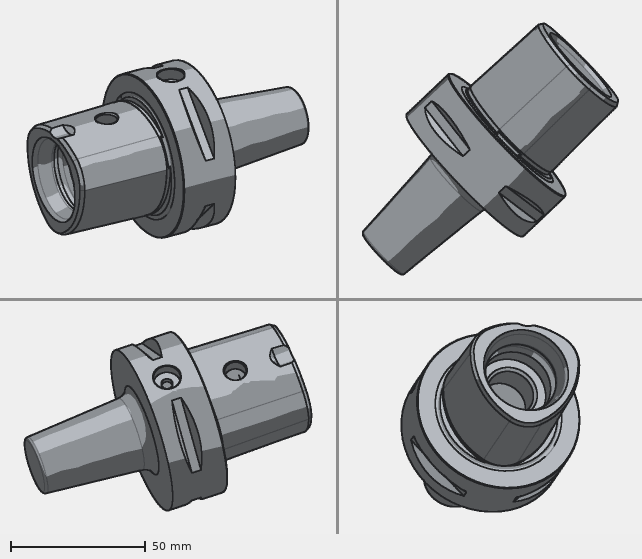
import cadquery as cq
import math


flange_radius = 31.5
flange_length = 22.0
flange_chamfer = 0.3
nose_length = 65.0
nose_fillet_radius_at_flange = 17.4
nose_base_radius = 14.1
nose_base_y = 26.7
nose_tip_radius = 11.0
tip_fillet = 1.0

collar_height = 0.4
groove_wall_radius = 22.6
groove_radius = 1.2
groove_depth = 0.2
groove_center_radius = groove_wall_radius + groove_radius
neck_inset = 0.1
shank_start = 2.0

shank_length = 38.0
lobe_center_radius = 10.4
lobe_radius = 13.0
shank_taper = 1 / 20
end_chamfer_length = 1.5
end_chamfer_depth = 0.9

mouth_radius = 16.4
mouth_chamfer_depth = 1.8
bore_radius = 15.5
lip_start = 6.8
lip_radius = 13.8
lip_end = 7.8
recess_radius = 14.9
recess_bulge_start = 10.0
recess_bulge_end = 12.0
recess_bulge_height = 0.3
inner_bore_start = 13.8
inner_bore_radius = 13.4
bore_floor = 20.6
pilot_mouth_radius = 10.1
pilot_radius = 9.0
pilot_length = 12.4
drill_slope = math.tan(math.radians(31))

slot_y = 11.9
slot_count = 4
slot_floor_distance = 28.0
slot_floor_width = 3.6
slot_side_slope = math.tan(math.radians(30))
index_radius = 5.0
index_depth = 4.9
index_chamfer = 0.2
index_rim_drop = 0.4
center_drill_radius = 2.2
center_drill_depth = 2.1

cross_hole_y = -15.5
cross_hole_radius = 4.0
cross_hole_bottom = 14.7
countersink_top = 20.4
countersink_radius = 4.5
countersink_depth = 0.9
notch_radius = 7.2
notch_floor_z = 18.1
notch_length = 6.3
notch_cone_length = 8.8


def revolve_y(profile):
    """Full turn of an open profile about the part's Y axis or a parallel through its origin."""
    return profile.close().revolve(360, (0, 0), (0, 1))


def rounded_triangle(plane, inset):
    """Outline of constant width, moved inward by the inset."""
    small = lobe_radius - inset
    large = lobe_radius + lobe_center_radius * math.sqrt(3) - inset

    def lobe_center(index):
        angle = math.radians(-90 + 120 * index)
        return lobe_center_radius * math.cos(angle), lobe_center_radius * math.sin(angle)

    def around(center, radius, degrees):
        angle = math.radians(degrees)
        return center[0] + radius * math.cos(angle), center[1] + radius * math.sin(angle)

    outline = plane.moveTo(*around(lobe_center(0), small, -120))
    for index in range(3):
        lobe_direction = -90 + 120 * index
        center = lobe_center(index)
        opposite = lobe_center(index + 2)
        outline = outline.threePointArc(
            around(center, small, lobe_direction), around(center, small, lobe_direction + 30)
        )
        outline = outline.threePointArc(
            around(opposite, large, lobe_direction + 60), around(opposite, large, lobe_direction + 90)
        )
    return outline.close()


def shank_section(depth_start, inset_start, depth_end, inset_end):
    """Straight-sided stretch of the shank between two depths below the flange face."""
    lower = rounded_triangle(cq.Workplane("XZ", origin=(0, -depth_start, 0)), inset_start)
    both = rounded_triangle(lower.workplane(offset=depth_end - depth_start), inset_end)
    return both.loft(ruled=True)


def turned_body():
    """Collar, flange and tapered nose."""
    profile = (
        cq.Workplane("XY")
        .moveTo(0, -collar_height)
        .lineTo(groove_center_radius, -collar_height)
        .lineTo(groove_center_radius, 0)
        .lineTo(flange_radius - flange_chamfer, 0)
        .lineTo(flange_radius, flange_chamfer)
        .lineTo(flange_radius, flange_length)
        .lineTo(nose_fillet_radius_at_flange, flange_length)
    )
    slope = math.atan2(nose_base_radius - nose_tip_radius, nose_length - nose_base_y)
    run = nose_fillet_radius_at_flange - nose_base_radius
    rise = nose_base_y - flange_length
    half_turn = math.atan2(run, rise) - slope
    fillet_radius = math.hypot(run, rise) / (2 * math.sin(half_turn))
    center_r = nose_base_radius + fillet_radius * math.cos(slope)
    center_y = nose_base_y + fillet_radius * math.sin(slope)
    middle = (
        center_r - fillet_radius * math.cos(slope + half_turn),
        center_y - fillet_radius * math.sin(slope + half_turn),
    )
    profile = (
        profile.threePointArc(middle, (nose_base_radius, nose_base_y))
        .lineTo(nose_tip_radius, nose_length)
        .lineTo(0, nose_length)
    )
    return revolve_y(profile).edges(">Y").fillet(tip_fillet)


def polygon_shank():
    """Short neck, tapered shank and the chamfer at its end."""
    chamfer_start = shank_length - end_chamfer_length
    end_inset = (chamfer_start - shank_start) * shank_taper / 2
    neck = shank_section(0, neck_inset, shank_start, neck_inset)
    main = shank_section(shank_start, 0, chamfer_start, end_inset)
    tip = shank_section(chamfer_start, end_inset, shank_length, end_inset + end_chamfer_depth)
    return neck.union(main).union(tip)


def collar_groove():
    """Round groove that undercuts the collar and trims the lobes of the neck."""
    center_y = groove_depth - groove_radius
    lobe_tip = lobe_center_radius + lobe_radius
    trim_start = shank_start - (lobe_tip - groove_wall_radius)
    outside = groove_center_radius + groove_radius
    profile = (
        cq.Workplane("XY")
        .moveTo(outside, center_y)
        .threePointArc((groove_center_radius, groove_depth), (groove_wall_radius, center_y))
        .lineTo(groove_wall_radius, -trim_start)
        .lineTo(lobe_tip, -shank_start)
        .lineTo(outside, -shank_start)
    )
    return revolve_y(profile)


def shank_bore():
    """Stepped bore with an inner lip and recess, ending in a drilled pilot hole."""
    end = -shank_length
    floor_y = end + bore_floor
    bulge_middle = (
        recess_radius + recess_bulge_height,
        end + (recess_bulge_start + recess_bulge_end) / 2,
    )
    pilot_chamfer_y = floor_y + pilot_mouth_radius - pilot_radius
    pilot_end = floor_y + pilot_length
    profile = (
        cq.Workplane("XY")
        .moveTo(0, end)
        .lineTo(mouth_radius, end)
        .lineTo(bore_radius, end + mouth_chamfer_depth)
        .lineTo(lip_radius, end + lip_start)
        .lineTo(lip_radius, end + lip_end)
        .lineTo(recess_radius, end + lip_end)
        .lineTo(recess_radius, end + recess_bulge_start)
        .threePointArc(bulge_middle, (recess_radius, end + recess_bulge_end))
        .lineTo(inner_bore_radius, end + inner_bore_start)
        .lineTo(inner_bore_radius, floor_y)
        .lineTo(pilot_mouth_radius, floor_y)
        .lineTo(pilot_radius, pilot_chamfer_y)
        .lineTo(pilot_radius, pilot_end)
        .lineTo(0, pilot_end + pilot_radius * drill_slope)
    )
    return revolve_y(profile)


def gripper_slots():
    """V-sided slots at 45 degrees to the axes, open at both ends of their flat floors."""
    depth = flange_radius - slot_floor_distance
    floor_half = slot_floor_width / 2
    top_half = floor_half + depth * slot_side_slope
    slot = (
        cq.Workplane("XY")
        .polyline([
            (slot_floor_distance, slot_y - floor_half),
            (flange_radius, slot_y - top_half),
            (flange_radius, slot_y + top_half),
            (slot_floor_distance, slot_y + floor_half),
        ])
        .close()
        .extrude(flange_radius, both=True)
    )
    slots = cq.Workplane("XY")
    for index in range(slot_count):
        slots = slots.add(slot.rotate((0, 0, 0), (0, 1, 0), 45 + index * 360 / slot_count).val())
    return slots.combine()


def vertical_hole(y, outline):
    """Hole about a vertical axis at the given Y, from an outline of (radius, z) points."""
    profile = cq.Workplane("XZ", origin=(0, y, 0)).polyline(outline)
    return profile.close().revolve(360, (0, 0), (0, 1))


def index_hole():
    """Flat-bottomed hole in the top of the flange with a center drilling in its floor."""
    floor_z = flange_radius - index_depth
    drill_z = floor_z - center_drill_depth
    chamfer_z = flange_radius - index_rim_drop
    return vertical_hole(slot_y, [
        (0, flange_radius),
        (index_radius + index_chamfer, flange_radius),
        (index_radius + index_chamfer, chamfer_z),
        (index_radius, chamfer_z - index_chamfer),
        (index_radius, floor_z),
        (center_drill_radius, floor_z),
        (center_drill_radius, drill_z),
        (0, drill_z - center_drill_radius * drill_slope),
    ])


def cross_hole():
    """Countersunk blind hole in the top flat of the shank."""
    return vertical_hole(cross_hole_y, [
        (0, countersink_top),
        (countersink_radius, countersink_top),
        (cross_hole_radius, countersink_top - countersink_depth),
        (cross_hole_radius, cross_hole_bottom),
        (0, cross_hole_bottom - cross_hole_radius * drill_slope),
    ])


def end_notch():
    """Round groove along Y in the top of the shank end, closed by a cone."""
    notch_end = notch_length - shank_length
    profile = (
        cq.Workplane("XY", origin=(0, 0, notch_floor_z + notch_radius))
        .moveTo(0, -shank_length)
        .lineTo(notch_radius, -shank_length)
        .lineTo(notch_radius, notch_end)
        .lineTo(0, notch_end + notch_cone_length)
    )
    return revolve_y(profile)


result = turned_body().union(polygon_shank())
for cutter in (collar_groove(), shank_bore(), gripper_slots(), index_hole(), cross_hole(), end_notch()):
    result = result.cut(cutter)